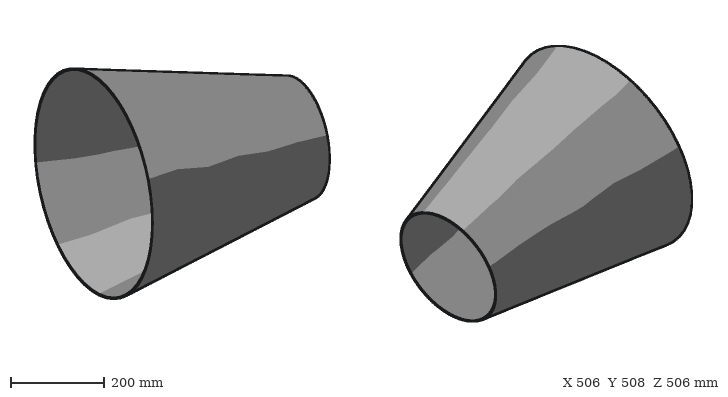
import cadquery as cq

length = 508.0
large_diameter = 506.0
small_diameter = 273.5
wall = 3.0

large_radius = large_diameter / 2
small_radius = small_diameter / 2

wall_section = (
    cq.Workplane("XY")
    .moveTo(large_radius - wall, 0)
    .lineTo(large_radius, 0)
    .lineTo(small_radius, length)
    .lineTo(small_radius - wall, length)
    .close()
)

result = wall_section.revolve(360, (0, 0, 0), (0, 1, 0))